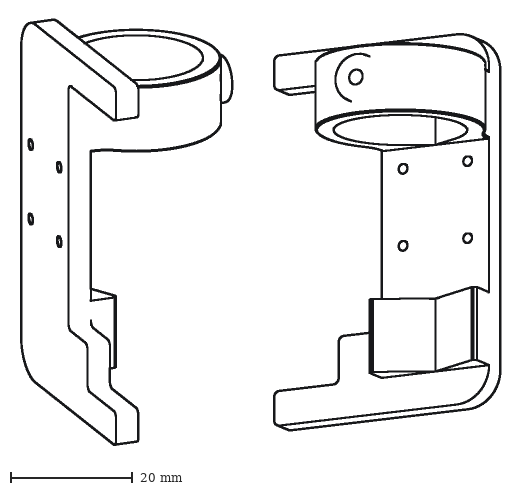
import cadquery as cq
import math

plate_height = 62.5
plate_thickness = 4.0
half_width = 10.0
arm_end = 30.0
arm_height = 5.9
step_end = 18.0
step_height = 13.9
back_corner_radius = 6.0
small_radius = 1.0

screw_diameter = 1.6
screw_mouth_diameter = 1.8
screw_x = 6.0
screw_rows = (27.9, 40.9)

bore_radius = 11.0
ring_radius = 14.0
ring_center_y = 12.3
ring_height = 11.5
ring_top = 55.75
ring_bottom = ring_top - ring_height
foot_radius = 6.0
ring_chamfer = 0.25

tangent_angle = math.acos(bore_radius / ring_center_y)
tangent_slope = math.tan(tangent_angle)

boss_diameter = 8.0
boss_end_y = 28.0
boss_z = ring_bottom + ring_height / 2
boss_rim_radius = 0.5
boss_root_radius = 0.4
cross_hole_diameter = 2.5

block_depth = 4.6
block_bottom = back_corner_radius
block_top = 18.3
block_chamfer = 0.45


def upright_prism(outline, bottom, top):
    """Extrude a closed XY outline between two heights."""
    return outline.extrude(top - bottom).translate((0, 0, bottom))


def boss_axis_cylinder(diameter):
    """Cylinder along the boss axis, from the ring axis to the boss end."""
    start = cq.Workplane("XZ", origin=(0, ring_center_y, boss_z))
    return start.circle(diameter / 2).extrude(ring_center_y - boss_end_y)


def round_corners(plate, corners, radius):
    """Fillet the plate edges that run along Y at the given (x, z) corners."""
    for x, z in corners:
        edge = cq.selectors.NearestToPointSelector((x, -plate_thickness / 2, z))
        plate = plate.edges(edge).fillet(radius)
    return plate


def make_plate():
    back_corners = [(-half_width, plate_height), (-half_width, 0)]
    arm_corners = [
        (arm_end, 0),
        (arm_end, arm_height),
        (step_end, arm_height),
        (step_end, step_height),
        (half_width, step_height),
        (half_width, plate_height - arm_height),
        (arm_end, plate_height - arm_height),
        (arm_end, plate_height),
    ]
    plate = cq.Workplane("XZ").polyline(back_corners + arm_corners).close().extrude(plate_thickness)

    screw_points = [(x, z) for x in (-screw_x, screw_x) for z in screw_rows]
    screws = cq.Workplane("XZ").pushPoints(screw_points).circle(screw_diameter / 2)
    plate = plate.cut(screws.extrude(plate_thickness))
    mouth_chamfer = (screw_mouth_diameter - screw_diameter) / 2
    plate = plate.faces("<Y").edges("%CIRCLE").chamfer(mouth_chamfer)

    plate = round_corners(plate, back_corners, back_corner_radius)
    return round_corners(plate, arm_corners, small_radius)


def make_ring_body():
    arc_x = half_width + foot_radius
    center_distance = ring_radius + foot_radius
    rise = math.sqrt(center_distance**2 - arc_x**2)
    arc_y = ring_center_y - rise
    touch_x = arc_x * ring_radius / center_distance
    touch_y = ring_center_y - rise * ring_radius / center_distance
    middle_angle = (math.atan2(rise, -arc_x) + math.pi) / 2
    middle_x = arc_x + foot_radius * math.cos(middle_angle)
    middle_y = arc_y + foot_radius * math.sin(middle_angle)
    outline = (
        cq.Workplane("XY")
        .moveTo(half_width, 0)
        .lineTo(half_width, arc_y)
        .threePointArc((middle_x, middle_y), (touch_x, touch_y))
        .threePointArc((0, ring_center_y + ring_radius), (-touch_x, touch_y))
        .threePointArc((-middle_x, middle_y), (-half_width, arc_y))
        .lineTo(-half_width, 0)
        .close()
    )
    body = upright_prism(outline, ring_bottom, ring_top)
    return body.faces("|Z").edges("not(<Y)").chamfer(ring_chamfer)


def make_bore():
    touch_x = bore_radius * math.sin(tangent_angle)
    touch_y = ring_center_y - bore_radius * math.cos(tangent_angle)
    outline = (
        cq.Workplane("XY")
        .lineTo(touch_x, touch_y)
        .threePointArc((0, ring_center_y + bore_radius), (-touch_x, touch_y))
        .close()
    )
    return upright_prism(outline, ring_bottom, ring_top)


def make_ring():
    boss = boss_axis_cylinder(boss_diameter).faces(">Y").edges().fillet(boss_rim_radius)
    ring = make_ring_body().union(boss)
    root = cq.selectors.NearestToPointSelector((0, ring_center_y + ring_radius, boss_z))
    ring = ring.edges(root).fillet(boss_root_radius)
    return ring.cut(make_bore()).cut(boss_axis_cylinder(cross_hole_diameter))


def make_block_wedge(side):
    """One flank of the V block; its sloped wall lines up with the bore tangent."""
    outline = cq.Workplane("XY").polyline([
        (0, 0),
        (side * block_depth / tangent_slope, block_depth),
        (side * (half_width - block_chamfer), block_depth),
        (side * half_width, block_depth - block_chamfer),
        (side * half_width, 0),
    ]).close()
    return upright_prism(outline, block_bottom, block_top)


result = make_plate().union(make_ring())
for side in (-1, 1):
    result = result.union(make_block_wedge(side))